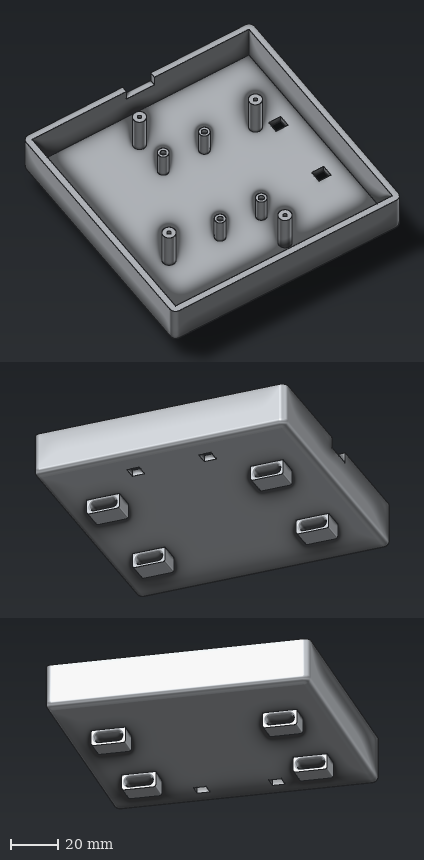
import cadquery as cq

side = 116.0
tray_height = 20.0
wall = 3.0
floor_top = wall
edge_radius = wall

notch_width = 14.2
notch_depth = 5.0

window_width = 5.6
window_length = 6.0
window_spacing = 33.0
window_y = 44.4

tall_post_diameter = 6.0
tall_post_hole = 1.7
tall_post_top = tray_height + 1.0
tall_post_spacing_x = 65.0
tall_post_spacing_y = 50.0
tall_post_turn = -22.4

short_post_diameter = 5.0
short_post_hole = 2.5
short_post_height = 12.0
short_post_spacing_x = 43.6
short_post_spacing_y = 20.9

loop_width = 15.0
loop_length = 10.0
loop_height = 7.0
loop_spacing_x = 75.0
loop_spacing_y = 50.0
loop_corner_radius = 1.0
slot_width = 12.2
slot_height = 4.1
slot_edge_radius = 0.9
mouth_margin = 0.1


def make_tray():
    body = cq.Workplane("XY").box(side, side, tray_height, centered=(True, True, False))
    body = body.edges("|Z").fillet(edge_radius)
    body = body.faces("<Z").edges().fillet(edge_radius)
    inside = side - 2 * wall
    cavity = (
        cq.Workplane("XY", origin=(0, 0, floor_top))
        .rect(inside, inside)
        .extrude(tray_height - floor_top)
    )
    return body.cut(cavity)


def make_notch():
    return cq.Workplane("XY").box(wall, notch_width, notch_depth).translate(
        ((wall - side) / 2, 0, tray_height - notch_depth / 2)
    )


def make_windows():
    return (
        cq.Workplane("XY", origin=(0, window_y, 0))
        .rarray(window_spacing, 1.2, 2, 1)
        .rect(window_width, window_length)
        .extrude(floor_top)
    )


def make_posts(spacing_x, spacing_y, diameter, hole, height):
    """Four tubular posts rising from the floor, with holes that stop at the floor."""
    return (
        cq.Workplane("XY", origin=(0, 0, floor_top))
        .rarray(spacing_x, spacing_y, 2, 2)
        .circle(diameter / 2)
        .circle(hole / 2)
        .extrude(height)
    )


def make_loop():
    """One strap loop hanging below z = 0, with rounded lower corners and slot mouths."""
    block = cq.Workplane("XY").box(loop_width, loop_length, loop_height)
    block = block.edges("|Y and <Z").fillet(loop_corner_radius)
    slot = (
        cq.Workplane("XZ")
        .slot2D(slot_width, slot_height)
        .extrude(loop_length / 2, both=True)
    )
    block = block.cut(slot)
    reach_x = slot_width / 2 + mouth_margin
    reach_z = slot_height / 2 + mouth_margin
    mouth = cq.selectors.BoxSelector(
        (-reach_x, -loop_length, -reach_z),
        (reach_x, loop_length, reach_z),
        boundingbox=True,
    )
    block = block.faces("|Y").edges(mouth).fillet(slot_edge_radius)
    return block.translate((0, 0, -loop_height / 2))


tall_posts = make_posts(
    tall_post_spacing_x,
    tall_post_spacing_y,
    tall_post_diameter,
    tall_post_hole,
    tall_post_top - floor_top,
).rotate((0, 0, 0), (0, 0, 1), tall_post_turn)
short_posts = make_posts(
    short_post_spacing_x,
    short_post_spacing_y,
    short_post_diameter,
    short_post_hole,
    short_post_height,
)

result = make_tray().cut(make_notch()).cut(make_windows())
result = result.union(tall_posts).union(short_posts)
loop = make_loop()
for x in (-loop_spacing_x / 2, loop_spacing_x / 2):
    for y in (-loop_spacing_y / 2, loop_spacing_y / 2):
        result = result.union(loop.translate((x, y, 0)))